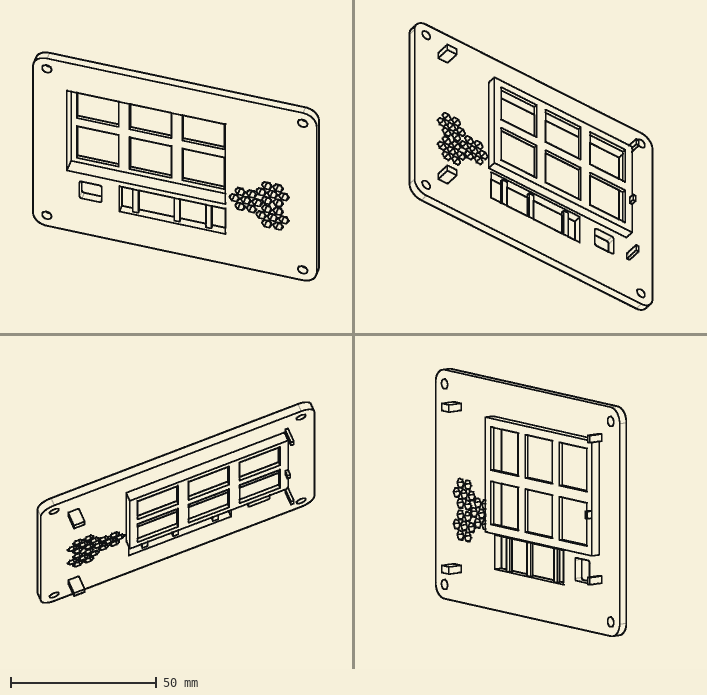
import cadquery as cq
import math


plate_width = 102.25
plate_height = 80.25
plate_thickness = 3.0
corner_radius = 5.0
screw_hole_diameter = 3.4

key_pitch = 19.05
key_columns = 3
key_rows = 2
key_window = 15.1
key_center_x = -10.3
key_center_z = 7.6
box_wall = 1.0
box_floor = 1.3
box_back = 6.3
recess_extra_height = 0.1
recess_width = key_columns * key_pitch
recess_height = key_rows * key_pitch + recess_extra_height
box_width = recess_width + 2 * box_wall
box_height = recess_height + 2 * box_wall
recess_depth = box_back - box_floor

slot_width = 38.2
slot_height = 12.0
slot_center_z = -19.8
slot_right = key_center_x + recess_width / 2
slot_left = slot_right - slot_width
bar_width = 2.0
bar_offsets = (4.4, 19.3, 30.75)
bar_front = 1.2
bar_depth = 1.0

square_size = 8.0
square_radius = 0.8
square_center_x = -30.35
square_center_z = -19.4

grille_center_x = 32.05
grille_center_z = -7.55
cluster_distance = 6.42
hexagon_pitch = 4.1
hexagon_width = 3.6

post_back = 8.31
post_height = 2.5
thin_post_width = 1.1
wide_post_width = 4.0
edge_post_center_x = -40.65
edge_posts_z = (28.75, -21.0)
box_post_center = (-39.3, 1.95)
wide_post_center_x = 38.95
wide_posts_z = (28.4, -28.35)


def block(width, height, center_x, center_z, front, back):
    """Box of the given X and Z size, reaching from Y = front to Y = back."""
    center_y = (front + back) / 2
    return cq.Workplane("XY").box(width, back - front, height).translate((center_x, center_y, center_z))


def front_sketch(points):
    """Work plane on the front face with the given (X, Z) points, to be extruded by a negative length."""
    return cq.Workplane("XZ").pushPoints(points)


def make_plate():
    plate = block(plate_width, plate_height, 0, 0, 0, plate_thickness)
    plate = plate.edges("|Y").fillet(corner_radius)
    hole_x = plate_width / 2 - corner_radius
    hole_z = plate_height / 2 - corner_radius
    centers = [(x, z) for x in (-hole_x, hole_x) for z in (-hole_z, hole_z)]
    holes = front_sketch(centers).circle(screw_hole_diameter / 2).extrude(-plate_thickness)
    return plate.cut(holes)


def add_key_box(body):
    body = body.union(block(box_width, box_height, key_center_x, key_center_z, plate_thickness, box_back))
    body = body.cut(block(recess_width, recess_height, key_center_x, key_center_z, 0, recess_depth))
    for column in range(key_columns):
        for row in range(key_rows):
            x = key_center_x + (column - (key_columns - 1) / 2) * key_pitch
            z = key_center_z + (row - (key_rows - 1) / 2) * key_pitch
            body = body.cut(block(key_window, key_window, x, z, recess_depth, box_back))
    return body


def add_barred_slot(body):
    slot_center_x = (slot_left + slot_right) / 2
    body = body.cut(block(slot_width, slot_height, slot_center_x, slot_center_z, 0, plate_thickness))
    for offset in bar_offsets:
        x = slot_left + offset + bar_width / 2
        body = body.union(block(bar_width, slot_height, x, slot_center_z, bar_front, bar_front + bar_depth))
    return body


def cut_square_opening(body):
    opening = block(square_size, square_size, square_center_x, square_center_z, 0, plate_thickness)
    return body.cut(opening.edges("|Y").fillet(square_radius))


def cut_grille(body):
    centers = []
    for cluster_angle in (60, 180, 300):
        cluster_x = grille_center_x + cluster_distance * math.cos(math.radians(cluster_angle))
        cluster_z = grille_center_z + cluster_distance * math.sin(math.radians(cluster_angle))
        centers.append((cluster_x, cluster_z))
        for angle in range(0, 360, 60):
            x = cluster_x + hexagon_pitch * math.cos(math.radians(angle))
            z = cluster_z + hexagon_pitch * math.sin(math.radians(angle))
            centers.append((x, z))
    return body.cut(front_sketch(centers).polygon(6, hexagon_width).extrude(-plate_thickness))


def add_posts(body):
    for z in edge_posts_z:
        body = body.union(block(thin_post_width, post_height, edge_post_center_x, z, plate_thickness, post_back))
    body = body.union(block(thin_post_width, post_height, *box_post_center, box_back, post_back))
    for z in wide_posts_z:
        body = body.union(block(wide_post_width, post_height, wide_post_center_x, z, plate_thickness, post_back))
    return body


result = make_plate()
result = add_key_box(result)
result = add_barred_slot(result)
result = cut_square_opening(result)
result = cut_grille(result)
result = add_posts(result)